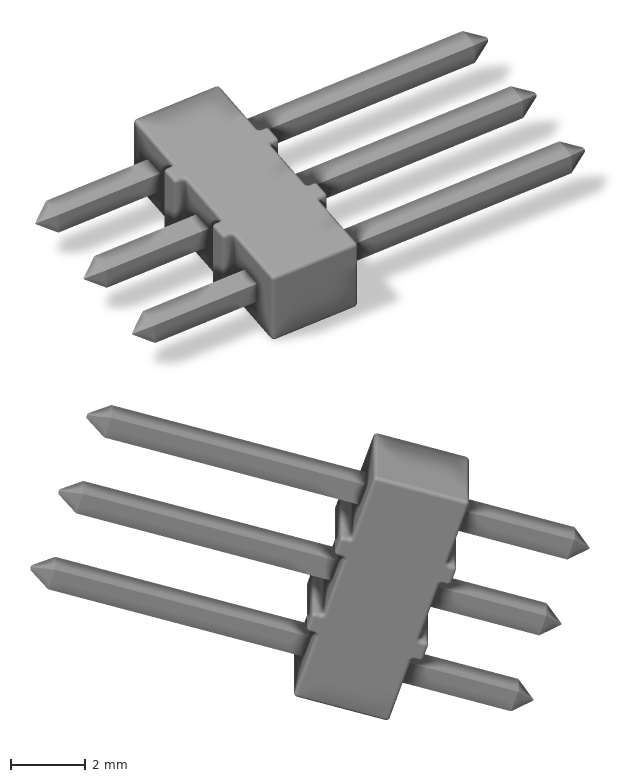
import cadquery as cq

PIN_COUNT = 3
PITCH = 2.55
OVERALL_DEPTH = 14.22

HOUSING_LENGTH = 7.37
HOUSING_DEPTH = 2.7
HOUSING_HEIGHT = 2.35
RIB_WIDTH = 0.61
RIB_PROJECTION = 0.3
EDGE_RADIUS = 0.107
RIB_ROOT_RADIUS = 0.09

PIN_WIDTH = 0.65
FRONT_PIN_LENGTH = 3.74
FRONT_TAPER_LENGTH = 0.53
FRONT_END_WIDTH = 0.03
BACK_TAPER_LENGTH = 0.58
BACK_END_WIDTH = 0.1

FACE_Y = HOUSING_DEPTH / 2
RIB_FACE_Y = FACE_Y + RIB_PROJECTION
BACK_PIN_LENGTH = OVERALL_DEPTH - HOUSING_DEPTH - FRONT_PIN_LENGTH
PIN_XS = [(i - (PIN_COUNT - 1) / 2) * PITCH for i in range(PIN_COUNT)]
RIB_XS = [x + PITCH / 2 for x in PIN_XS[:-1]]


def rib_root_edges():
    """Selector for the vertical edges where the ribs leave the two housing faces."""
    reach_x = HOUSING_LENGTH / 2 - 2 * EDGE_RADIUS
    slack = RIB_PROJECTION / 10
    front, back = [
        cq.selectors.BoxSelector((-reach_x, y - slack, -HOUSING_HEIGHT), (reach_x, y + slack, HOUSING_HEIGHT))
        for y in (-FACE_Y, FACE_Y)
    ]
    return cq.StringSyntaxSelector("|Z") & (front + back)


def make_housing():
    """Block with a full-height rib between neighbouring pins, front and back, all edges rounded."""
    block = cq.Workplane("XY").box(HOUSING_LENGTH, HOUSING_DEPTH, HOUSING_HEIGHT)
    ribs = (
        cq.Workplane("XY")
        .pushPoints([(x, 0) for x in RIB_XS])
        .box(RIB_WIDTH, 2 * RIB_FACE_Y, HOUSING_HEIGHT)
    )
    body = block.edges("|Z").fillet(EDGE_RADIUS).union(ribs.edges("|Z").fillet(EDGE_RADIUS))
    body = body.edges(rib_root_edges()).fillet(RIB_ROOT_RADIUS)
    return body.faces("<Z or >Z").edges().fillet(EDGE_RADIUS)


def make_pin(x, direction, length, taper_length, end_width):
    """Square pin standing on a housing face, pointing along direction (-1 or +1 in Y), with a tapered end."""
    base = cq.Plane(origin=(x, direction * FACE_Y, 0), xDir=(1, 0, 0), normal=(0, direction, 0))
    shank_length = length - taper_length
    shank = cq.Workplane(base).rect(PIN_WIDTH, PIN_WIDTH).extrude(shank_length)
    taper = (
        cq.Workplane(base)
        .workplane(offset=shank_length)
        .rect(PIN_WIDTH, PIN_WIDTH)
        .workplane(offset=taper_length)
        .rect(end_width, end_width)
        .loft()
    )
    return shank.union(taper)


def make_front_pin(x):
    """Short pin on the -Y face, coming almost to a point."""
    return make_pin(x, -1, FRONT_PIN_LENGTH, FRONT_TAPER_LENGTH, FRONT_END_WIDTH)


def make_back_pin(x):
    """Long pin on the +Y face, ending in a small flat."""
    return make_pin(x, 1, BACK_PIN_LENGTH, BACK_TAPER_LENGTH, BACK_END_WIDTH)


housing = make_housing()
front_pins = [make_front_pin(x) for x in PIN_XS]
back_pins = [make_back_pin(x) for x in PIN_XS]

result = cq.Compound.makeCompound(
    [housing.val()] + [pin.val() for pin in front_pins] + [pin.val() for pin in back_pins]
)